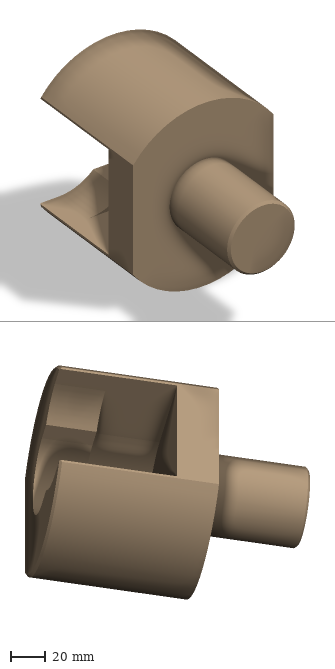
import cadquery as cq

total_length = 155.0
body_length = 95.0
body_diameter = 125.0
width_across_flats = 100.0
shank_diameter = 48.0
edge_chamfer = 1.5

pocket_depth = 70.0
lip_thickness = 30.0
pocket_width = 71.9
neck_width = 52.0
entry_center_y = -36.7


def bar(diameter, start_x, end_x):
    """Round bar along X between two stations."""
    return cq.Workplane("YZ", origin=(start_x, 0, 0)).circle(diameter / 2).extrude(end_x - start_x)


def open_slot(slot_width, center_y, start_x, end_x):
    """Slot with a round end about center_y, running out through the -Y flat."""
    run_out = width_across_flats + center_y
    straight = (
        cq.Workplane("YZ", origin=(start_x, center_y - run_out / 2, 0))
        .rect(run_out, slot_width)
        .extrude(end_x - start_x)
    )
    round_end = bar(slot_width, start_x, end_x).translate((0, center_y, 0))
    return straight.union(round_end)


def make_body():
    flats = (
        cq.Workplane("XY")
        .box(body_length, width_across_flats, body_diameter)
        .edges("<X and >Y")
        .chamfer(edge_chamfer)
        .translate((body_length / 2, 0, 0))
    )
    turned = bar(body_diameter, 0, body_length).faces("<X").chamfer(edge_chamfer)
    return turned.intersect(flats)


def make_shank():
    return bar(shank_diameter, body_length, total_length).faces(">X").chamfer(edge_chamfer)


def make_pocket():
    head_space = open_slot(pocket_width, 0, lip_thickness, pocket_depth)
    neck = open_slot(neck_width, 0, 0, lip_thickness)
    entry = open_slot(pocket_width, entry_center_y, 0, lip_thickness)
    return head_space.union(neck).union(entry)


result = make_body().union(make_shank()).cut(make_pocket())